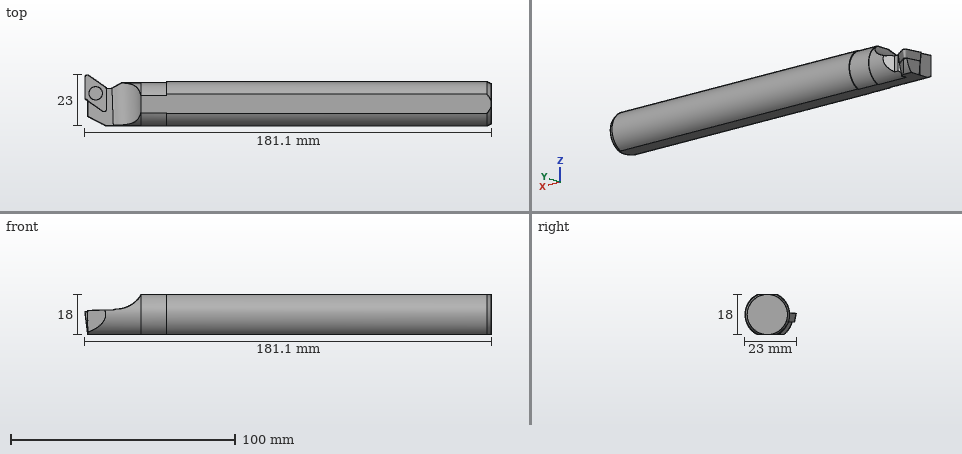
import cadquery as cq
import math

length = 181.1
shank_radius = 10.0
flat_spacing = 18.0
end_taper_length = 2.0
end_taper_depth = 1.0

neck_radius = 9.8
head_radius = 9.6
neck_start = 25.0
neck_end = 36.4
neck_center_y = neck_radius - shank_radius

rake = 4.0
seat_height = 1.5
step_start = 12.3
step_end = 13.4
step_height = 0.4
step_skew = 2.0
gullet_rise = flat_spacing / 2 - seat_height - step_height
gullet_run = neck_start - step_end
gullet_radius = (gullet_run**2 + gullet_rise**2) / (2 * gullet_rise)

front_face_x = 1.18
front_face_y = (-5.6, 1.8)
chamfer_end = (9.2, -9.8)
relief_y = 6.9
relief_start_x = 11.8
relief_end = (17.0, 9.8)

insert_width = 9.6
insert_angle = 55.0
insert_center_y = 4.7
insert_thickness = 4.0
insert_nose_radius = 1.0
insert_draft = 7.0
support_radius = 11.6
insert_center = (insert_width / 2, insert_center_y, 0)

screw_head_diameter = 6.0
screw_shank_diameter = 4.3
screw_head_depth = 1.8


def tilt(body):
    """Tilt a body about the bar axis by the rake angle and lift it to the seat."""
    return body.rotate((0, 0, 0), (1, 0, 0), -rake).translate((0, 0, seat_height))


def round_bar(start, end, radius, center_y):
    return cq.Workplane("YZ", origin=(start, center_y, 0)).circle(radius).extrude(end - start)


def rhombic_prism(width, thickness, draft):
    """Rhombus with rounded acute corners; its top is the seat plane and it narrows downward."""
    edge = width / math.sin(math.radians(insert_angle))
    slant = width / math.tan(math.radians(insert_angle))
    side = width / 2
    tip = (edge + slant) / 2
    corners = [(-side, tip), (-side, tip - edge), (side, -tip), (side, edge - tip)]
    outline = cq.Sketch().polygon(corners + corners[:1])
    outline = outline.vertices(">Y or <Y").fillet(insert_nose_radius)
    return cq.Workplane("XY").placeSketch(outline).extrude(-thickness, taper=draft).translate(insert_center)


def clamping_screw():
    """Screw with a conical head flush with the top of the insert."""
    top_radius = screw_head_diameter / 2
    bottom_radius = screw_shank_diameter / 2
    profile = (
        cq.Workplane("XZ")
        .lineTo(top_radius, 0)
        .lineTo(bottom_radius, -screw_head_depth)
        .lineTo(bottom_radius, -insert_thickness)
        .lineTo(0, -insert_thickness)
        .close()
    )
    return tilt(profile.revolve(360, (0, 0, 0), (0, 1, 0)).translate(insert_center))


def insert_body():
    return tilt(rhombic_prism(insert_width, insert_thickness, insert_draft))


def insert_support():
    """Part of the head that carries the insert and reaches past the round of the bar."""
    pillar = tilt(rhombic_prism(insert_width, shank_radius + seat_height, insert_draft))
    return pillar.intersect(round_bar(0, insert_width, support_radius, 0))


def shank():
    bar = round_bar(neck_end, length, shank_radius, 0)
    return bar.faces(">X").chamfer(end_taper_length, end_taper_depth)


def gullet_cut():
    """Space above the seat, the small step and the concave gullet."""
    bend = math.asin(gullet_run / gullet_radius) / 2
    arc_middle = (
        step_end + gullet_radius * math.sin(bend),
        step_height + gullet_radius * (1 - math.cos(bend)),
    )
    clearance = 2 * shank_radius
    profile = (
        cq.Workplane("XZ")
        .moveTo(-clearance, 0)
        .lineTo(step_start, 0)
        .lineTo(step_end, step_height)
        .threePointArc(arc_middle, (neck_start, step_height + gullet_rise))
        .lineTo(neck_start, clearance)
        .lineTo(-clearance, clearance)
        .close()
    )
    cut = profile.extrude(clearance, both=True)
    return tilt(cut.rotate((neck_start, 0, 0), (neck_start, 0, 1), step_skew))


def head():
    bar = round_bar(front_face_x, neck_start, head_radius, neck_center_y)
    outline = (
        cq.Workplane("XY")
        .polyline([
            (front_face_x, front_face_y[1]),
            (front_face_x, front_face_y[0]),
            chamfer_end,
            (chamfer_end[0], -shank_radius),
            (neck_start, -shank_radius),
            (neck_start, shank_radius),
            relief_end,
            (relief_start_x, relief_y),
            (insert_width, relief_y),
        ])
        .close()
        .extrude(shank_radius, both=True)
    )
    return bar.intersect(outline).cut(gullet_cut()).union(insert_support())


def flats_envelope():
    return cq.Workplane("XY").box(2 * length, 2 * length, flat_spacing)


def holder_body():
    neck = round_bar(neck_start, neck_end, neck_radius, neck_center_y)
    bar = shank().union(neck).union(head()).intersect(flats_envelope())
    return bar.cut(insert_body()).union(clamping_screw())


holder = holder_body()
insert = insert_body().cut(clamping_screw())

result = cq.Compound.makeCompound([holder.solids().val(), insert.solids().val()])